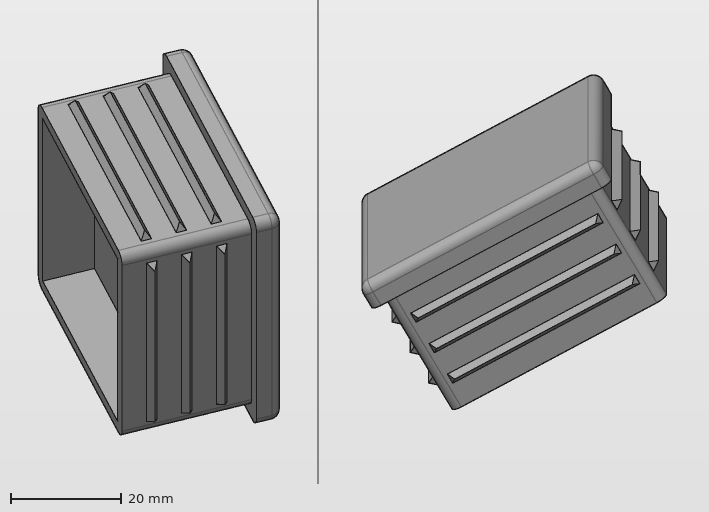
import cadquery as cq

flange_side = 50.0
flange_thickness = 5.0
total_depth = 30.0
corner_radius = 2.0
back_edge_radius = 2.0

plug_side = 44.8
plug_length = total_depth - flange_thickness
pocket_side = 40.0
pocket_depth = 10.0

rib_length = 39.0
rib_width = 2.0
rib_crest_span = 48.0
rib_height = (rib_crest_span - plug_side) / 2
rib_end_inset = 1.0
rib_pitch = 6.75
rib_count = 3
rib_sink = 0.5

rib_centers = [plug_length / 2 + (i - (rib_count - 1) / 2) * rib_pitch for i in range(rib_count)]


def square_block(side, start_y, depth):
    """Square block centred on the Y axis, growing towards +Y from start_y."""
    block = cq.Workplane("XY").box(side, depth, side)
    return block.translate((0, start_y + depth / 2, 0))


def make_flange():
    flange = square_block(flange_side, plug_length, flange_thickness)
    return flange.edges("|Y").fillet(corner_radius).faces(">Y").edges().fillet(back_edge_radius)


def make_plug():
    return square_block(plug_side, 0, plug_length).edges("|Y").fillet(corner_radius)


def make_rib(center_y):
    """Rib on the top wall: triangular section along X with both ends sloping in to the crest."""
    root_z = plug_side / 2
    crest_z = root_z + rib_height
    half_length = rib_length / 2
    half_width = rib_width / 2
    half_crest = half_length - rib_end_inset

    ridge = (
        cq.Workplane("YZ", origin=(-half_length, 0, 0))
        .moveTo(center_y - half_width, root_z - rib_sink)
        .lineTo(center_y - half_width, root_z)
        .lineTo(center_y, crest_z)
        .lineTo(center_y + half_width, root_z)
        .lineTo(center_y + half_width, root_z - rib_sink)
        .close()
        .extrude(rib_length)
    )
    side_profile = (
        cq.Workplane("XZ", origin=(0, center_y + half_width, 0))
        .moveTo(-half_length, root_z - rib_sink)
        .lineTo(-half_length, root_z)
        .lineTo(-half_crest, crest_z)
        .lineTo(half_crest, crest_z)
        .lineTo(half_length, root_z)
        .lineTo(half_length, root_z - rib_sink)
        .close()
        .extrude(rib_width)
    )
    return ridge.intersect(side_profile)


result = make_flange().union(make_plug())

for center in rib_centers:
    rib = make_rib(center)
    for angle in (0, 90, 180, 270):
        result = result.union(rib.rotate((0, 0, 0), (0, 1, 0), angle))

result = result.cut(square_block(pocket_side, 0, pocket_depth))

result = result.translate((0, -total_depth / 2, 0))